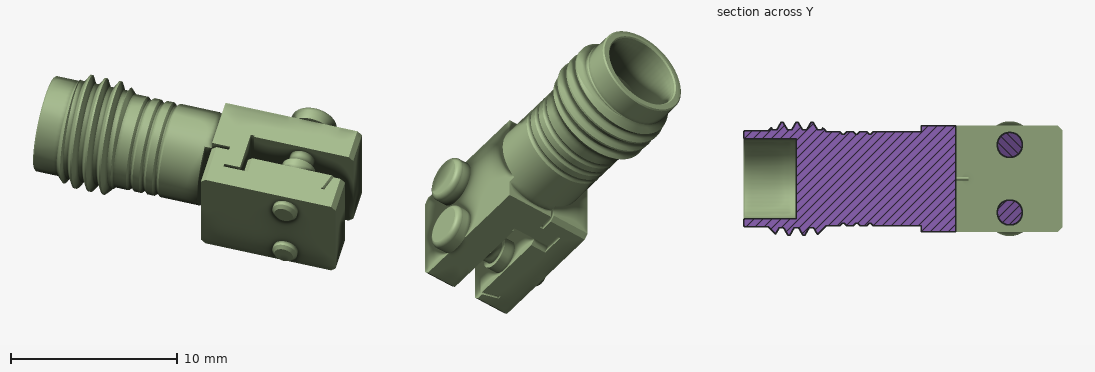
import cadquery as cq
import math

BARREL_FRONT_R = 2.93
BARREL_REAR_R = 2.87
BORE_R = 2.43
BORE_DEPTH = 3.15
MOUTH_CHAMFER = 0.08
FLATS_START_X = 10.21

THREAD_START_X = 1.48
THREAD_END_X = 4.98
THREAD_ROOT_R = 2.99
THREAD_CREST_R = 3.45
THREAD_PITCH = 0.9
THREAD_ROOT_WIDTH = 0.65
THREAD_CREST_WIDTH = 0.11
THREAD_SINK = 0.13
THREAD_CREST_X = 2.07
RIDGE_LEAD_TURNS = 2
RIDGE_TURNS = 5.5
TRIM_CLEARANCE = 0.2

GROOVE_COUNT = 3
GROOVE_START_X = 5.79
GROOVE_PITCH = 0.8
GROOVE_WIDTH = 0.4
GROOVE_DEPTH = 0.15

BLOCK_FRONT_X = 10.67
BLOCK_END_X = 19.16
BLOCK_BACK_Y = 2.01
BLOCK_STEP_Y = -1.1
BLOCK_FACE_Y = 0.0
LEG_START_X = 11.78
LEG_END_X = 12.76
LEG_TIP_Y = -2.41
HALF_HEIGHT = 3.2
CORNER_CHAMFER = 0.29
RELIEF_DEPTH = 0.1
RELIEF_WIDTH = 0.23

JAW_START_X = 10.71
JAW_END_X = 19.1
JAW_FRONT_Y = -3.87
JAW_FLOOR_Y = -2.6
JAW_HOOK_Y = -1.32
JAW_LIP_Y = -1.69

PLATE_START_X = 13.03
PLATE_TOP_Y = -1.57
PLATE_CORNER_CHAMFER = 0.27
PLATE_WEDGE_CHAMFER = 0.17
WEDGE_FOOT_X = 18.1
WEDGE_ANGLE = 17.0
BOSS_R = 1.05
BOSS_TOP_Y = -0.82

SCREW_X = 16.0
SCREW_Z = 2.03
SCREW_R = 0.77
SCREW_TIP_Y = -4.35
SCREW_TIP_CHAMFER = 0.2
HEAD_R = 1.42
HEAD_TOP_Y = 2.99
HEAD_EDGE_HEIGHT = 0.4
HEAD_EDGE_INSET = 0.27

PIN_R = 0.1
PIN_END_X = 13.53


def revolve_about_x(outline):
    """Solid of revolution about X from (x, radius) points."""
    return cq.Workplane("XY").polyline(outline).close().revolve(360, (0, 0, 0), (1, 0, 0))


def extrude_full_height(outline):
    """Prism over the full clamp height from (x, y) points."""
    base = cq.Workplane("XY").workplane(offset=-HALF_HEIGHT)
    return base.polyline(outline).close().extrude(2 * HALF_HEIGHT)


def rod_along_y(radius, y_low, y_high, z):
    """Cylinder on a screw axis, between two Y levels."""
    start = cq.Vector(SCREW_X, y_low, z)
    return cq.Workplane(cq.Solid.makeCylinder(radius, y_high - y_low, start, cq.Vector(0, 1, 0)))


def drill_for_screws(body):
    for z in (-SCREW_Z, SCREW_Z):
        body = body.cut(rod_along_y(SCREW_R, SCREW_TIP_Y, HEAD_TOP_Y, z))
    return body


def wedge_x(y):
    """X of the sloping face shared by plate and jaw, at level y."""
    return WEDGE_FOOT_X + (y - JAW_FLOOR_Y) * math.tan(math.radians(WEDGE_ANGLE))


def make_barrel():
    barrel = revolve_about_x([
        (0, 0),
        (0, BARREL_FRONT_R - MOUTH_CHAMFER),
        (MOUTH_CHAMFER, BARREL_FRONT_R),
        (THREAD_START_X, BARREL_FRONT_R),
        (THREAD_END_X, BARREL_REAR_R),
        (BLOCK_FRONT_X, BARREL_REAR_R),
        (BLOCK_FRONT_X, 0),
    ])
    for i in range(GROOVE_COUNT):
        x = GROOVE_START_X + i * GROOVE_PITCH
        floor_r = BARREL_REAR_R - GROOVE_DEPTH
        groove = revolve_about_x([
            (x, BARREL_REAR_R),
            (x + GROOVE_DEPTH, floor_r),
            (x + GROOVE_WIDTH - GROOVE_DEPTH, floor_r),
            (x + GROOVE_WIDTH, BARREL_REAR_R),
        ])
        barrel = barrel.cut(groove)
    return barrel


def make_thread():
    """Threaded sleeve: a root cylinder with a helical ridge, both ends cut at 45 degrees."""
    start_x = THREAD_CREST_X - RIDGE_LEAD_TURNS * THREAD_PITCH
    length = RIDGE_TURNS * THREAD_PITCH
    foot_r = THREAD_ROOT_R - THREAD_SINK
    flank_slope = (THREAD_ROOT_WIDTH - THREAD_CREST_WIDTH) / 2 / (THREAD_CREST_R - THREAD_ROOT_R)
    half_foot = THREAD_ROOT_WIDTH / 2 + THREAD_SINK * flank_slope
    half_crest = THREAD_CREST_WIDTH / 2
    helix = cq.Wire.makeHelix(THREAD_PITCH, length, foot_r)
    ridge = (
        cq.Workplane("XZ")
        .polyline([
            (foot_r, -half_foot),
            (THREAD_CREST_R, -half_crest),
            (THREAD_CREST_R, half_crest),
            (foot_r, half_foot),
        ])
        .close()
        .sweep(cq.Workplane(helix), isFrenet=True)
        .rotate((0, 0, 0), (1, 1, 1), 120)
        .translate((start_x, 0, 0))
    )
    trim_r = THREAD_CREST_R + TRIM_CLEARANCE
    core = revolve_about_x([
        (THREAD_START_X, 0),
        (THREAD_START_X, THREAD_ROOT_R),
        (THREAD_END_X, THREAD_ROOT_R),
        (THREAD_END_X, 0),
    ])
    start_rise = trim_r - BARREL_FRONT_R
    end_rise = trim_r - BARREL_REAR_R
    envelope = revolve_about_x([
        (THREAD_START_X, 0),
        (THREAD_START_X, BARREL_FRONT_R),
        (THREAD_START_X + start_rise, trim_r),
        (THREAD_END_X - end_rise, trim_r),
        (THREAD_END_X, BARREL_REAR_R),
        (THREAD_END_X, 0),
    ])
    return core.intersect(envelope).union(ridge.intersect(envelope))


def make_bore():
    return revolve_about_x([
        (0, 0),
        (0, BORE_R + MOUTH_CHAMFER),
        (MOUTH_CHAMFER, BORE_R),
        (BORE_DEPTH, BORE_R),
        (BORE_DEPTH, 0),
    ])


def make_block():
    block = extrude_full_height([
        (BLOCK_FRONT_X, BLOCK_BACK_Y),
        (BLOCK_END_X, BLOCK_BACK_Y),
        (BLOCK_END_X, BLOCK_FACE_Y),
        (LEG_END_X + RELIEF_WIDTH, BLOCK_FACE_Y),
        (LEG_END_X + RELIEF_WIDTH, BLOCK_FACE_Y + RELIEF_DEPTH),
        (LEG_END_X, BLOCK_FACE_Y + RELIEF_DEPTH),
        (LEG_END_X, LEG_TIP_Y),
        (LEG_START_X, LEG_TIP_Y),
        (LEG_START_X, BLOCK_STEP_Y),
        (BLOCK_FRONT_X, BLOCK_STEP_Y),
    ])
    return block.faces(">X").edges("|Y").chamfer(CORNER_CHAMFER)


def trim_barrel_flats(barrel):
    """Cut the rear end of the barrel level with the back and the step of the block."""
    flats_length = BLOCK_FRONT_X - FLATS_START_X
    width = 2 * BARREL_REAR_R
    waste = cq.Workplane("XY").box(flats_length, width, width, centered=(False, False, True))
    above = waste.translate((FLATS_START_X, BLOCK_BACK_Y, 0))
    below = waste.translate((FLATS_START_X, BLOCK_STEP_Y - width, 0))
    return barrel.cut(above).cut(below)


def make_pin():
    """Contact pin on the barrel axis, half sunk in the clamping face."""
    start = cq.Vector(BLOCK_FRONT_X, 0, 0)
    length = PIN_END_X - BLOCK_FRONT_X
    return cq.Workplane(cq.Solid.makeCylinder(PIN_R, length, start, cq.Vector(1, 0, 0)))


def make_housing():
    barrel = trim_barrel_flats(make_barrel()).union(make_thread()).cut(make_bore())
    housing = drill_for_screws(barrel.union(make_block()))
    return housing.cut(make_pin())


def make_jaw():
    relief_y = JAW_FLOOR_Y - RELIEF_DEPTH
    jaw = extrude_full_height([
        (JAW_START_X, JAW_FRONT_Y),
        (JAW_END_X, JAW_FRONT_Y),
        (JAW_END_X, JAW_LIP_Y),
        (wedge_x(JAW_LIP_Y), JAW_LIP_Y),
        (WEDGE_FOOT_X, JAW_FLOOR_Y),
        (WEDGE_FOOT_X, relief_y),
        (WEDGE_FOOT_X - RELIEF_WIDTH, relief_y),
        (WEDGE_FOOT_X - RELIEF_WIDTH, JAW_FLOOR_Y),
        (LEG_START_X, JAW_FLOOR_Y),
        (LEG_START_X, JAW_HOOK_Y),
        (JAW_START_X, JAW_HOOK_Y),
    ])
    jaw = jaw.faces("<X or >X").edges("|Y").chamfer(CORNER_CHAMFER)
    return drill_for_screws(jaw)


def make_plate():
    plate = extrude_full_height([
        (PLATE_START_X, JAW_FLOOR_Y),
        (WEDGE_FOOT_X, JAW_FLOOR_Y),
        (wedge_x(PLATE_TOP_Y), PLATE_TOP_Y),
        (PLATE_START_X, PLATE_TOP_Y),
    ])
    plate = plate.faces("<X").edges("|Y").chamfer(PLATE_CORNER_CHAMFER)
    plate = plate.faces(">X").edges("<Z or >Z").chamfer(PLATE_WEDGE_CHAMFER)
    for z in (-SCREW_Z, SCREW_Z):
        plate = plate.union(rod_along_y(BOSS_R, PLATE_TOP_Y, BOSS_TOP_Y, z))
    return drill_for_screws(plate)


def make_screw(z):
    """Screw with a rounded-edge head on the back of the block, revolved about its own axis."""
    edge_y = HEAD_TOP_Y - HEAD_EDGE_HEIGHT
    crown_r = HEAD_R - HEAD_EDGE_INSET
    diagonal = math.sqrt(0.5)
    profile = (
        cq.Workplane("XY")
        .moveTo(0, SCREW_TIP_Y)
        .lineTo(SCREW_R - SCREW_TIP_CHAMFER, SCREW_TIP_Y)
        .lineTo(SCREW_R, SCREW_TIP_Y + SCREW_TIP_CHAMFER)
        .lineTo(SCREW_R, BLOCK_BACK_Y)
        .lineTo(HEAD_R, BLOCK_BACK_Y)
        .lineTo(HEAD_R, edge_y)
        .threePointArc(
            (crown_r + HEAD_EDGE_INSET * diagonal, edge_y + HEAD_EDGE_HEIGHT * diagonal),
            (crown_r, HEAD_TOP_Y),
        )
        .lineTo(0, HEAD_TOP_Y)
        .close()
    )
    return profile.revolve(360, (0, 0, 0), (0, 1, 0)).translate((SCREW_X, 0, z))


housing = make_housing()
jaw = make_jaw()
plate = make_plate()
pin = make_pin()
screws = [make_screw(z) for z in (-SCREW_Z, SCREW_Z)]

result = cq.Compound.makeCompound([
    housing.solids().val(),
    jaw.solids().val(),
    plate.solids().val(),
    pin.val(),
    *[screw.val() for screw in screws],
])